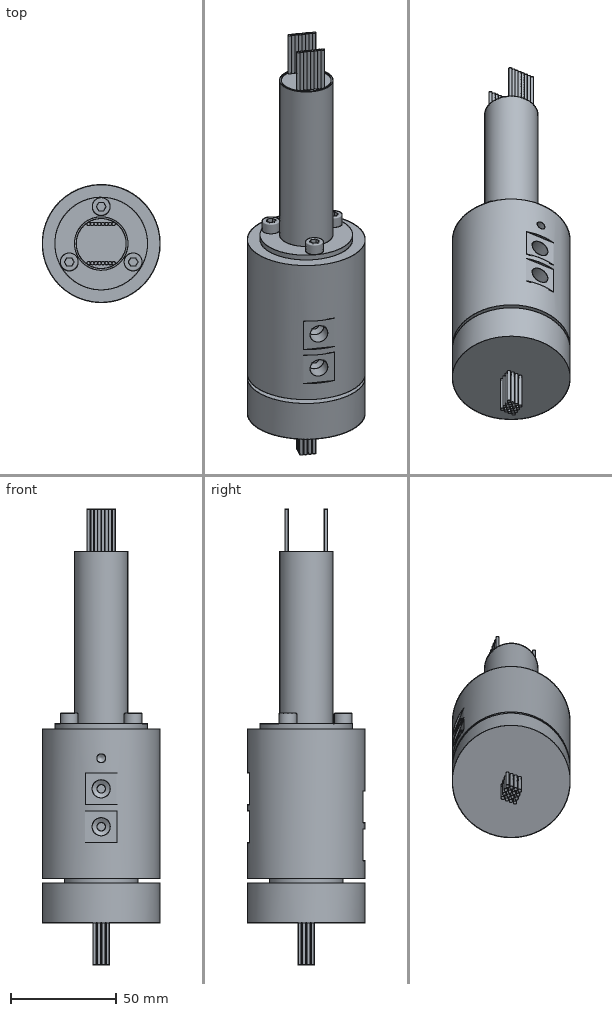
import cadquery as cq
import math

HOUSING_DIAMETER = 56.0
LOWER_RING_HEIGHT = 19.0
NECK_DIAMETER = 35.0
NECK_HEIGHT = 2.0
HOUSING_HEIGHT = 71.0
HOUSING_BASE = LOWER_RING_HEIGHT + NECK_HEIGHT
HOUSING_TOP = HOUSING_BASE + HOUSING_HEIGHT

FLANGE_DIAMETER = 44.0
FLANGE_THICKNESS = 2.5
FLANGE_TOP = HOUSING_TOP + FLANGE_THICKNESS
TUBE_DIAMETER = 25.4
TUBE_BORE = 23.7
TUBE_LENGTH = 81.8
TUBE_TOP = FLANGE_TOP + TUBE_LENGTH
TUBE_RECESS_DEPTH = 0.2

SCREW_COUNT = 3
SCREW_CIRCLE_RADIUS = 17.5
SCREW_HEAD_DIAMETER = 8.5
SCREW_HEAD_HEIGHT = 5.0
SCREW_HEAD_FILLET = 0.5
SOCKET_SIDES = 6
SOCKET_ACROSS_FLATS = 4.0
SOCKET_DEPTH = 2.5

FLAT_SIDE = 15.0
FLAT_DISTANCE = math.sqrt((HOUSING_DIAMETER / 2) ** 2 - (FLAT_SIDE / 2) ** 2)
FRONT_PORT_HEIGHTS = (45.6, 63.6)
REAR_PORT_HEIGHTS = (37.0, 55.0)
PORT_DIAMETER = 8.6
PORT_DEPTH = 8.0
PORT_FLOOR_DIAMETER = 4.0
DRILL_POINT_ANGLE = 118.0

CUTTER_OVERSHOOT = 1.0

PIN_HOLE_DIAMETER = 4.2
PIN_HOLE_DEPTH = 8.0
PIN_HOLE_HEIGHT = 78.1

WIRE_DIAMETER = 1.6
WIRE_LENGTH = 20.0
WIRE_EMBEDMENT = 1.0
RIBBON_WIRE_COUNT = 8
RIBBON_PITCH = 1.7
RIBBON_OFFSET = 9.3
BUNDLE_WIRES_PER_SIDE = 4
BUNDLE_PITCH = 2.07


def cylinder(diameter, base, height):
    return cq.Workplane("XY").workplane(offset=base).circle(diameter / 2).extrude(height)


def body():
    """Ring, neck, housing, flange and tube on one axis."""
    stack = cylinder(HOUSING_DIAMETER, 0, LOWER_RING_HEIGHT)
    stack = stack.union(cylinder(NECK_DIAMETER, LOWER_RING_HEIGHT, NECK_HEIGHT))
    stack = stack.union(cylinder(HOUSING_DIAMETER, HOUSING_BASE, HOUSING_HEIGHT))
    stack = stack.union(cylinder(FLANGE_DIAMETER, HOUSING_TOP, FLANGE_THICKNESS))
    stack = stack.union(cylinder(TUBE_DIAMETER, FLANGE_TOP, TUBE_LENGTH))
    return stack.cut(cylinder(TUBE_BORE, TUBE_TOP - TUBE_RECESS_DEPTH, TUBE_RECESS_DEPTH))


def screw_head():
    """Screw head standing on the flange at the +Y position."""
    head = cylinder(SCREW_HEAD_DIAMETER, FLANGE_TOP, SCREW_HEAD_HEIGHT)
    head = head.faces(">Z").edges().fillet(SCREW_HEAD_FILLET)
    socket_corner_diameter = SOCKET_ACROSS_FLATS / math.cos(math.pi / SOCKET_SIDES)
    socket = (
        cq.Workplane("XY")
        .workplane(offset=FLANGE_TOP + SCREW_HEAD_HEIGHT - SOCKET_DEPTH)
        .polygon(SOCKET_SIDES, socket_corner_diameter)
        .extrude(SOCKET_DEPTH)
    )
    return head.cut(socket).translate((0, SCREW_CIRCLE_RADIUS, 0))


def drilled_hole(diameter, floor_diameter, depth, mouth_distance, height):
    """Cutter for a hole in the -Y wall: straight bore, then a drill cone down to its floor."""
    radius = diameter / 2
    floor_radius = floor_diameter / 2
    wall_clearance = HOUSING_DIAMETER / 2 - mouth_distance + CUTTER_OVERSHOOT
    cone_length = (radius - floor_radius) / math.tan(math.radians(DRILL_POINT_ANGLE / 2))
    profile = (
        cq.Workplane("XY")
        .moveTo(0, -wall_clearance)
        .lineTo(radius, -wall_clearance)
        .lineTo(radius, depth)
        .lineTo(floor_radius, depth + cone_length)
    )
    if floor_radius > 0:
        profile = profile.lineTo(0, depth + cone_length)
    cutter = profile.close().revolve(360, (0, 0, 0), (0, 1, 0))
    return cutter.translate((0, -mouth_distance, height))


def port(height):
    """Cutter for a square flat with a port hole, on the -Y side."""
    flat_depth = HOUSING_DIAMETER / 2 - FLAT_DISTANCE
    flat = cq.Workplane("XY").box(FLAT_SIDE, flat_depth, FLAT_SIDE)
    flat = flat.translate((0, -FLAT_DISTANCE - flat_depth / 2, height))
    return flat.union(drilled_hole(PORT_DIAMETER, PORT_FLOOR_DIAMETER, PORT_DEPTH, FLAT_DISTANCE, height))


def wires(column_count, row_count, pitch, base):
    """Rectangular grid of parallel wires centred on the Z axis."""
    return (
        cq.Workplane("XY")
        .workplane(offset=base)
        .rarray(pitch, pitch, column_count, row_count)
        .circle(WIRE_DIAMETER / 2)
        .extrude(WIRE_LENGTH + WIRE_EMBEDMENT)
    )


result = body()

for index in range(SCREW_COUNT):
    angle = index * 360 / SCREW_COUNT
    result = result.union(screw_head().rotate((0, 0, 0), (0, 0, 1), angle))

for port_height in FRONT_PORT_HEIGHTS:
    result = result.cut(port(port_height))
for port_height in REAR_PORT_HEIGHTS:
    result = result.cut(port(port_height).rotate((0, 0, 0), (0, 0, 1), 180))
result = result.cut(drilled_hole(PIN_HOLE_DIAMETER, 0, PIN_HOLE_DEPTH, HOUSING_DIAMETER / 2, PIN_HOLE_HEIGHT))

ribbon = wires(RIBBON_WIRE_COUNT, 1, RIBBON_PITCH, TUBE_TOP - WIRE_EMBEDMENT)
for side in (-1, 1):
    result = result.union(ribbon.translate((0, side * RIBBON_OFFSET, 0)))
result = result.union(wires(BUNDLE_WIRES_PER_SIDE, BUNDLE_WIRES_PER_SIDE, BUNDLE_PITCH, -WIRE_LENGTH))